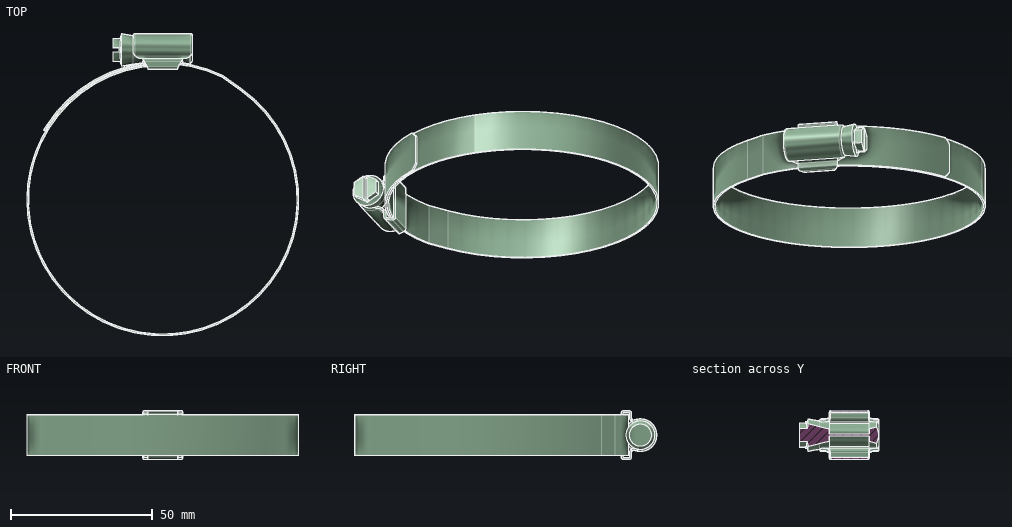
import cadquery as cq
import math


band_radius = 48.03
band_thickness = 0.62
band_width = 14.5
turn_gap = 0.08
overlap_radius = band_radius + band_thickness + turn_gap
tail_angle = 149.7
joggle_start_angle = 64.2
joggle_end_angle = 54.6
inner_end_angle = 85.0 - 360.0
seam_angle = -180.0
tail_corner = 2.1

overall_depth = 106.73
overall_height = 17.3
sheet_thickness = 0.75
tube_radius = 5.8
tube_start = -10.45
tube_end = 10.5
axis_y = overall_depth - band_radius - tube_radius
strap_bottom = 46.05
strap_top = 49.8
strap_bend_radius = 1.0
strap_half_bottom = 5.15
strap_half_bend = 5.55
strap_half_top = 7.15
throat_radius = 0.75
tube_edge_radius = 0.65
tube_edge_y = 51.9
arch_half_length = 7.6
arch_sag = -0.5

hex_width = 8.2
hex_corner_diameter = hex_width / math.cos(math.pi / 6)
hex_start = -17.65
flange_start = -15.1
flange_radius = 5.75
flange_rim_start = -14.5
neck_radius = tube_radius - sheet_thickness
collar_radius = 4.6
core_radius = 4.05
core_half_length = 7.0
tip_start = 9.6
tip_radius = 3.9
slot_width = 1.4
slot_depth = 2.1


def polar(radius, angle):
    """Point at a radius and an angle in degrees about the ring axis."""
    return (radius * math.cos(math.radians(angle)), radius * math.sin(math.radians(angle)))


def arc(sketch, radius, start, end):
    """Continue an outline along an arc about the ring axis."""
    return sketch.threePointArc(polar(radius, (start + end) / 2), polar(radius, end))


def make_band():
    inner_face = band_radius - band_thickness
    overlap_face = overlap_radius - band_thickness
    outline = cq.Workplane("XY").moveTo(*polar(overlap_radius, tail_angle))
    outline = arc(outline, overlap_radius, tail_angle, joggle_start_angle)
    outline = outline.lineTo(*polar(band_radius, joggle_end_angle))
    outline = arc(outline, band_radius, joggle_end_angle, seam_angle)
    outline = arc(outline, band_radius, seam_angle, inner_end_angle)
    outline = outline.lineTo(*polar(inner_face, inner_end_angle))
    outline = arc(outline, inner_face, inner_end_angle, seam_angle)
    outline = arc(outline, inner_face, seam_angle, joggle_end_angle)
    outline = outline.lineTo(*polar(overlap_face, joggle_start_angle))
    outline = arc(outline, overlap_face, joggle_start_angle, tail_angle)
    band = outline.close().extrude(band_width).translate((0, 0, -band_width / 2))
    return band.cut(make_tail_corners(overlap_face - turn_gap / 2))


def make_tail_corners(start_radius):
    """Prisms that take the two corners off the free end of the outer turn."""
    middle_angle = tail_angle - math.degrees(tail_corner / 2 / start_radius)
    radial = (*polar(1, middle_angle), 0)
    back_along_band = (*polar(1, middle_angle - 90), 0)
    plane = cq.Plane((*polar(start_radius, middle_angle), 0), back_along_band, radial)
    corners = cq.Workplane(plane)
    edge = band_width / 2
    for side in (-1, 1):
        inboard = (-tail_corner, side * (edge - 1.5 * tail_corner))
        outboard = (tail_corner, side * (edge + tail_corner / 2))
        outer_corner = (-tail_corner, side * (edge + tail_corner / 2))
        corners = corners.polyline([inboard, outboard, outer_corner]).close()
    return corners.extrude(2 * band_thickness)


def housing_section(inset):
    """Tube and strap loop across the housing, moved inwards by an inset."""
    length = tube_end - tube_start
    middle_y = (strap_bottom + strap_top) / 2
    tube = cq.Workplane("YZ", origin=(tube_start, axis_y, 0)).circle(tube_radius - inset).extrude(length)
    loop_depth = strap_top - strap_bottom - 2 * inset
    loop_height = overall_height - 2 * inset
    loop = cq.Workplane("YZ", origin=(tube_start, middle_y, 0)).rect(loop_depth, loop_height)
    loop = loop.extrude(length).edges("|X").fillet(strap_bend_radius - inset)
    section = tube.union(loop)
    crease_y = strap_top - inset
    crease_z = math.sqrt((tube_radius - inset) ** 2 - (axis_y - crease_y) ** 2)
    middle_x = (tube_start + tube_end) / 2
    for side in (-1, 1):
        crease = cq.selectors.NearestToPointSelector((middle_x, crease_y, side * crease_z))
        section = section.edges("|X").edges(crease).fillet(throat_radius + inset)
    return section


def make_housing():
    section = housing_section(0).cut(housing_section(sheet_thickness))
    bend_y = strap_bottom + strap_bend_radius
    crown_y = axis_y + tube_radius
    outline = (
        cq.Workplane("XY")
        .moveTo(tube_start, crown_y)
        .lineTo(tube_start, tube_edge_y)
        .sagittaArc((-arch_half_length, strap_top), arch_sag)
        .lineTo(-strap_half_top, strap_top)
        .lineTo(-strap_half_bend, bend_y)
        .lineTo(-strap_half_bottom, strap_bottom)
        .lineTo(strap_half_bottom, strap_bottom)
        .lineTo(strap_half_bend, bend_y)
        .lineTo(strap_half_top, strap_top)
        .lineTo(arch_half_length, strap_top)
        .sagittaArc((tube_end, tube_edge_y), arch_sag)
        .lineTo(tube_end, crown_y)
        .close()
        .extrude(overall_height / 2, both=True)
    )
    housing = section.intersect(outline)
    for end in ("<X", ">X"):
        outer_edge = housing.faces(end).edges("%CIRCLE").edges(cq.selectors.RadiusNthSelector(-1))
        housing = outer_edge.fillet(tube_edge_radius)
    return housing


def make_screw():
    half_profile = [
        (flange_start, 0),
        (flange_start, hex_width / 2),
        (flange_rim_start, flange_radius),
        (tube_start, neck_radius),
        (-core_half_length, collar_radius),
        (-core_half_length, core_radius),
        (core_half_length, core_radius),
        (core_half_length, collar_radius),
        (tip_start, neck_radius),
        (tube_end, tip_radius),
        (tube_end, 0),
    ]
    body = cq.Workplane("XY", origin=(0, axis_y, 0)).polyline(half_profile).close()
    body = body.revolve(360, (0, 0, 0), (1, 0, 0))
    head_plane = cq.Workplane("YZ", origin=(hex_start, axis_y, 0))
    hexagon = head_plane.transformed(rotate=(0, 0, 90)).polygon(6, hex_corner_diameter)
    hexagon = hexagon.extrude(flange_rim_start - hex_start)
    slot = head_plane.rect(slot_width, hex_corner_diameter).extrude(slot_depth)
    return body.union(hexagon).cut(slot)


band = make_band()
housing = make_housing()
screw = make_screw()

result = cq.Compound.makeCompound([band.solids().val(), housing.solids().val(), screw.solids().val()])